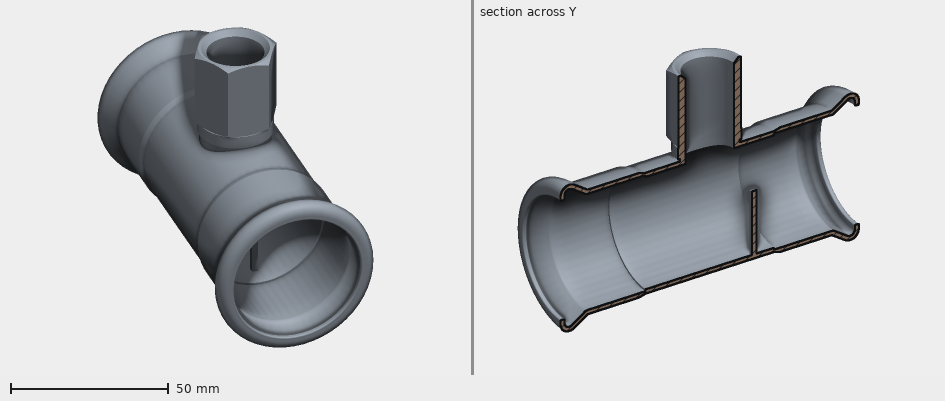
import cadquery as cq
import math

length = 114.0
half_length = length / 2
wall = 1.7
run_radius = 22.0
bore_radius = run_radius - wall
socket_radius = 22.7
socket_bore_radius = socket_radius - wall
shoulder_inner_x = 24.6
shoulder_outer_x = 27.0

bead_radius = 3.4
bead_outer_diameter = 53.2
bead_ring_radius = bead_outer_diameter / 2 - bead_radius
bead_x = half_length - bead_radius
flare_angle = math.radians(33.5)
lip_bore_radius = 21.5
lip_round = 0.5

branch_top = 53.0
hex_bottom = 27.0
hex_flats = 23.9
hex_corners = hex_flats / math.cos(math.pi / 6)
hex_face_radius = 11.9
hex_chamfer_angle = math.radians(30)
neck_radius = 12.2
neck_bottom = 22.8
foot_radius = 11.5
branch_bore_radius = 9.2
branch_mouth_radius = 11.0

tab_disc_radius = 2.7
tab_stem_width = 1.9
tab_thickness = tab_stem_width
tab_x = (branch_bore_radius + shoulder_inner_x) / 2


def bead_point(radius, angle):
    """Point (x, r) on a bead circle; the angle runs from radially outward towards the tube middle."""
    return (bead_x - radius * math.sin(angle), bead_ring_radius + radius * math.cos(angle))


def flare_end(start, end_radius):
    """Point where the flare leaving the bead at start comes down to end_radius."""
    return (start[0] - (start[1] - end_radius) / math.tan(flare_angle), end_radius)


def revolve_about_x(profile):
    return profile.close().revolve(360, (0, 0, 0), (1, 0, 0))


def end_envelope():
    """Solid outside shape of the +X socket, from its shoulder to its mouth."""
    flare_start = bead_point(bead_radius, flare_angle)
    return revolve_about_x(
        cq.Workplane("XY")
        .moveTo(shoulder_inner_x, 0)
        .lineTo(shoulder_inner_x, run_radius)
        .lineTo(shoulder_outer_x, socket_radius)
        .lineTo(*flare_end(flare_start, socket_radius))
        .lineTo(*flare_start)
        .threePointArc(bead_point(bead_radius, -math.pi / 6), (half_length, bead_ring_radius))
        .lineTo(half_length, 0)
    )


def end_cavity():
    """Socket bore, rounded bend, seal groove and lip opening inside the +X socket."""
    groove_radius = bead_radius - wall
    groove_outer_x = bead_x + groove_radius
    lip_edge_radius = lip_bore_radius + lip_round
    flare_start = bead_point(groove_radius, flare_angle)
    bend_center = flare_end(bead_point(bead_radius, flare_angle), socket_radius)

    def bend_point(angle):
        return (bend_center[0] + wall * math.sin(angle), bend_center[1] - wall * math.cos(angle))

    return revolve_about_x(
        cq.Workplane("XY")
        .moveTo(shoulder_inner_x, 0)
        .lineTo(shoulder_inner_x, socket_bore_radius)
        .lineTo(*bend_point(0))
        .threePointArc(bend_point(flare_angle / 2), bend_point(flare_angle))
        .lineTo(*flare_start)
        .threePointArc(bead_point(groove_radius, -math.pi / 6), (groove_outer_x, bead_ring_radius))
        .lineTo(groove_outer_x, lip_edge_radius)
        .radiusArc((groove_outer_x + lip_round, lip_bore_radius), -lip_round)
        .lineTo(half_length - lip_round, lip_bore_radius)
        .radiusArc((half_length, lip_edge_radius), -lip_round)
        .lineTo(half_length, 0)
    )


def both_ends(radius, end):
    """Plain middle cylinder of the run with the same end shape on both sides."""
    middle = cq.Workplane("YZ").circle(radius).extrude(shoulder_inner_x, both=True)
    return middle.union(end).union(end.mirror("YZ"))


def hexagon():
    """Hexagonal head with corners on the Y axis, chamfered at both ends."""
    corner_radius = hex_corners / 2
    chamfer_height = (corner_radius - hex_face_radius) * math.tan(hex_chamfer_angle)
    prism = (
        cq.Workplane("XY", origin=(0, 0, hex_bottom))
        .transformed(rotate=(0, 0, 90))
        .polygon(6, hex_corners)
        .extrude(branch_top - hex_bottom)
    )
    chamfer_envelope = (
        cq.Workplane("XZ")
        .moveTo(0, hex_bottom)
        .lineTo(hex_face_radius, hex_bottom)
        .lineTo(corner_radius, hex_bottom + chamfer_height)
        .lineTo(corner_radius, branch_top - chamfer_height)
        .lineTo(hex_face_radius, branch_top)
        .lineTo(0, branch_top)
        .close()
        .revolve(360, (0, 0, 0), (0, 1, 0))
    )
    return prism.intersect(chamfer_envelope)


def neck():
    """Round neck below the hexagon, on a slightly narrower foot that runs into the tube."""
    return (
        cq.Workplane("XZ")
        .lineTo(foot_radius, 0)
        .lineTo(foot_radius, neck_bottom)
        .lineTo(neck_radius, neck_bottom)
        .lineTo(neck_radius, hex_bottom)
        .lineTo(0, hex_bottom)
        .close()
        .revolve(360, (0, 0, 0), (0, 1, 0))
    )


def branch_bore():
    """Branch hole opening into the run, with a 45 degree countersink at the top."""
    countersink_depth = branch_mouth_radius - branch_bore_radius
    return (
        cq.Workplane("XZ")
        .lineTo(branch_bore_radius, 0)
        .lineTo(branch_bore_radius, branch_top - countersink_depth)
        .lineTo(branch_mouth_radius, branch_top)
        .lineTo(0, branch_top)
        .close()
        .revolve(360, (0, 0, 0), (0, 1, 0))
    )


def keyhole_tab():
    """Disc on the run axis, carried by a stem rooted in the bottom of the run wall."""
    stem_foot = (bore_radius + run_radius) / 2
    plane = cq.Workplane("YZ", origin=(tab_x, 0, 0))
    disc = plane.circle(tab_disc_radius).extrude(tab_thickness / 2, both=True)
    stem = (
        plane.center(0, -stem_foot / 2)
        .rect(tab_stem_width, stem_foot)
        .extrude(tab_thickness / 2, both=True)
    )
    return disc.union(stem)


outside = both_ends(run_radius, end_envelope()).union(neck()).union(hexagon())
result = outside.cut(both_ends(bore_radius, end_cavity())).cut(branch_bore()).union(keyhole_tab())